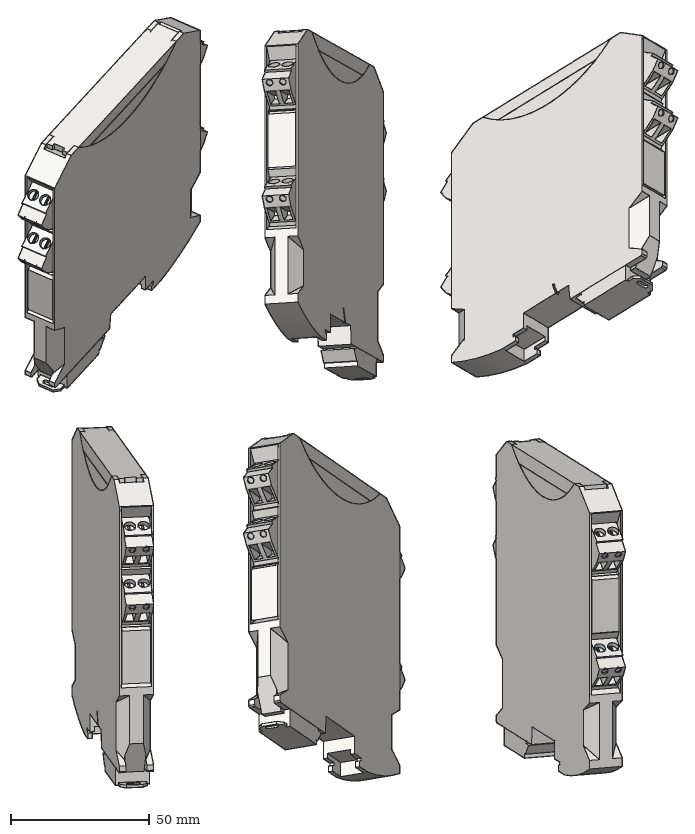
import cadquery as cq
import math

width = 12.6
half_depth = 49.3
overall_length = 112.5
height = 113.7
base_z = 6.7
chamfer_y = 38.2
chamfer_z = 106.3
corner_slope = (height - chamfer_z) / (half_depth - chamfer_y)

rail_top_z = 13.4
rail_back_y = 12.0
rail_front_y = -11.3
hook_y = 16.3
hook_top_z = 5.2
hook_z = 3.1
hook_flat_y = 22.9
hook_wall = 1.7
hook_channel_z = 8.5

lid_arc_z = 101.5
lid_arc_half = 33.1
flap_line_z = 108.2
flap_relief = 0.1
tongue_width = 8.9
tongue_half = 37.5
tongue_z = 111.1
groove_half = 39.7
groove_edge_z = height - corner_slope * (groove_half - chamfer_y)
groove_foot_half = 36.2
groove_end_slope = (groove_edge_z - tongue_z) / (groove_half - groove_foot_half)
pry_notch_width = 4.3

slot_width = 11.1
slot_pitch = 21.5
slot_count = 3
first_floor_z = 81.5
slot_rise = 24.5
slot_slope = 0.66
slot_apex_depth = slot_rise / (slot_slope + 1 / slot_slope)
slot_apex_rise = slot_slope * slot_apex_depth
slot_angle = math.degrees(math.atan(slot_slope))
front_plug_slots = (0, 1)
front_blank_slot = 2
rear_plug_slots = (0, 2)
rear_blank_slot = 1

blank_width = 10.5
blank_set_back = 0.3
blank_bottom = 1.4
blank_top = 21.1
blank_top_depth = 1.5

plug_width = 10.1
plug_top_rise = 17.9
ridge_out, ridge_rise = 4.3, 15.0
notch_out, notch_rise = 3.4, 14.3
tip_out, tip_rise = overall_length / 2 - half_depth, 11.1
front_out, front_rise = 4.3, 7.3
curve_out, curve_rise = 2.0, 5.3
heel_depth, heel_rise = 1.4, 2.7
rest_depth = 2.2
screw_out = 0.6
test_out, test_rise = 6.0, 9.9
pole_spacing = 5.1
screw_diameter = 4.1
screw_depth = 1.8
screw_slot_width = 0.7
screw_slot_depth = 0.6
test_diameter = 2.4
test_depth = 0.6
wire_width = 3.3
wire_low = 2.8
wire_high = 7.2
wire_depth = 4.5

pocket_y = 42.6
web_width = 5.0
pocket_top_z = 35.6
pocket_ceiling_z = 31.6
front_pocket_floor_z = 13.5
front_prong_z = 9.3
rear_pocket_floor_z = 18.4
rear_pocket_edge_z = 14.3

tool_slot_width = 7.7
tool_slot_top_z = 17.5
tool_slot_y = -43.3
stub_z = 5.5

foot_end_y = -40.8
foot_nose_y = -15.1
foot_nose_z = 5.7
foot_neck_y = -17.6
foot_neck_z = 5.9
foot_ramp_y = -18.3
foot_step_y = -19.2
foot_step_z = 1.7
tab_end_y = -45.3
tab_width = 10.1
tab_thickness = 1.0
tab_chamfer = 2.0
tab_hole_length = 5.0
tab_hole_width = 1.8

slit_depth = 0.9
slit_top_z = 18.3
slit_top_ys = (-2.8, -3.5)
slit_foot_ys = (-5.5, -4.5)


def prism(points, thickness):
    """Extrude a closed (Y, Z) polygon along X, centred on X = 0."""
    return cq.Workplane("YZ").polyline(points).close().extrude(thickness / 2, both=True)


def at_side(body, side):
    """Keep a body made for the -Y side, or mirror it to the +Y side."""
    return body if side < 0 else body.mirror("XZ")


def floor_z(slot):
    return first_floor_z - slot * slot_pitch


def lid_segment(thickness):
    return (
        cq.Workplane("YZ")
        .moveTo(-lid_arc_half, height)
        .threePointArc((0, lid_arc_z), (lid_arc_half, height))
        .close()
        .extrude(thickness / 2, both=True)
    )


def groove_outline(top_half, shoulder_z):
    """Lid tongue outline, sloped below the shoulder to match the groove ends."""
    shoulder_half = groove_foot_half + (shoulder_z - tongue_z) / groove_end_slope
    return [
        (-top_half, height), (-shoulder_half, shoulder_z), (-groove_foot_half, tongue_z),
        (groove_foot_half, tongue_z), (shoulder_half, shoulder_z), (top_half, height),
    ]


def lid_groove():
    return prism(groove_outline(groove_half, groove_edge_z), tongue_width)


def lid_space():
    return lid_segment(width).union(lid_groove())


def make_lid():
    shoulder_z = tongue_z + groove_end_slope * (tongue_half - groove_foot_half)
    tongue = prism(groove_outline(tongue_half, shoulder_z), tongue_width)
    lower = cq.Workplane("XY").box(
        width, 2 * lid_arc_half, flap_line_z - lid_arc_z, centered=(True, True, False)
    ).translate((0, 0, lid_arc_z))
    core = lid_segment(width - 2 * flap_relief)
    notch_length = tongue_half - groove_foot_half
    pry_notch = cq.Workplane("XY").box(
        pry_notch_width, notch_length, height - tongue_z, centered=(True, False, False)
    ).translate((0, -tongue_half, tongue_z))
    return lid_segment(width).cut(lower).union(core).union(tongue).cut(pry_notch)


def slot_space(slot):
    z = floor_z(slot)
    return prism(
        [
            (-half_depth, z),
            (-half_depth + slot_apex_depth, z + slot_apex_rise),
            (-half_depth, z + slot_rise),
        ],
        slot_width,
    )


def blank_panel(slot):
    """Panel filling a slot, standing just behind the housing face."""
    z = floor_z(slot)
    face_y = -half_depth + blank_set_back
    roof_z = z + slot_rise - blank_top_depth / slot_slope
    return prism(
        [
            (face_y, z + blank_bottom),
            (face_y, z + blank_top),
            (-half_depth + blank_top_depth, roof_z),
            (-half_depth + slot_apex_depth, z + slot_apex_rise),
        ],
        blank_width,
    )


def make_plug(slot):
    """Two-pole screw plug resting on the slot floor and roof, on the -Y side."""
    def point(out, rise):
        return (-half_depth - out, floor_z(slot) + rise)

    roof_depth = (slot_rise - plug_top_rise) / (slot_slope + 1 / slot_slope)
    plug = (
        cq.Workplane("YZ")
        .moveTo(*point(-slot_apex_depth, slot_apex_rise))
        .lineTo(*point(-roof_depth, plug_top_rise + slot_slope * roof_depth))
        .lineTo(*point(ridge_out, ridge_rise))
        .lineTo(*point(notch_out, notch_rise))
        .lineTo(*point(tip_out, tip_rise))
        .lineTo(*point(front_out, front_rise))
        .threePointArc(point(curve_out, curve_rise), point(-heel_depth, heel_rise))
        .lineTo(*point(-rest_depth, slot_slope * rest_depth))
        .close()
        .extrude(plug_width / 2, both=True)
    )

    screw_y, screw_z = point(screw_out, plug_top_rise - slot_slope * screw_out)
    test_y, test_z = point(test_out, test_rise)
    wire_inner_y = -half_depth + wire_depth
    wire_outer_y = -half_depth - wire_depth
    wire_floor_z = floor_z(slot) + wire_low
    wire_roof_z = floor_z(slot) + wire_high
    for x in (-pole_spacing / 2, pole_spacing / 2):
        screw = cq.Workplane("XY").circle(screw_diameter / 2).extrude(screw_depth, both=True)
        driver_slot = (
            cq.Workplane("XY").workplane(offset=-screw_depth)
            .rect(screw_slot_width, screw_diameter).extrude(-screw_slot_depth)
        )
        screw = screw.union(driver_slot)
        plug = plug.cut(screw.rotate((0, 0, 0), (1, 0, 0), slot_angle).translate((x, screw_y, screw_z)))
        test = cq.Workplane("XZ").circle(test_diameter / 2).extrude(test_depth, both=True)
        plug = plug.cut(test.rotate((0, 0, 0), (1, 0, 0), slot_angle).translate((x, test_y, test_z)))
        wire = prism(
            [
                (wire_outer_y, wire_floor_z),
                (wire_outer_y, wire_roof_z),
                (wire_inner_y, wire_roof_z),
                (wire_inner_y, wire_floor_z + slot_slope * wire_depth),
                (-half_depth, wire_floor_z),
            ],
            wire_width,
        )
        plug = plug.cut(wire.translate((x, 0, 0)))
    return plug


def housing_blank():
    lip_y = 17.5
    lip_z = 5.8
    belly_y, belly_z = 35.2, 5.7
    heel_z = 11.1
    prong_end_z = 7.3
    prong_nose = 0.6
    return (
        cq.Workplane("YZ")
        .moveTo(-half_depth, chamfer_z)
        .lineTo(-chamfer_y, height)
        .lineTo(chamfer_y, height)
        .lineTo(half_depth, chamfer_z)
        .lineTo(half_depth, heel_z)
        .threePointArc((belly_y, belly_z), (hook_flat_y, hook_z))
        .lineTo(hook_y, hook_z)
        .lineTo(hook_y, hook_top_z)
        .lineTo(lip_y, lip_z)
        .lineTo(lip_y, base_z)
        .lineTo(rail_back_y, base_z)
        .lineTo(rail_back_y, rail_top_z)
        .lineTo(rail_front_y, rail_top_z)
        .lineTo(-rail_back_y, base_z)
        .lineTo(-half_depth + prong_nose, base_z)
        .lineTo(-half_depth, prong_end_z)
        .close()
        .extrude(width / 2, both=True)
    )


def corner_pockets(floor_inner_z, floor_edge_z):
    """Pair of wedge pockets at the -Y face, meeting the web from both sides."""
    side_view = prism(
        [
            (-half_depth, pocket_top_z), (-pocket_y, pocket_ceiling_z),
            (-pocket_y, floor_inner_z), (-half_depth, floor_edge_z),
        ],
        width,
    )
    plan = (
        cq.Workplane("XY")
        .polyline([(web_width / 2, -half_depth), (width / 2, -half_depth), (width / 2, -pocket_y)])
        .close()
        .extrude(height)
    )
    return side_view.intersect(plan.union(plan.mirror("YZ")))


def tool_slot():
    return prism(
        [
            (-half_depth, tool_slot_top_z), (tool_slot_y, stub_z), (-half_depth, stub_z),
        ],
        tool_slot_width,
    )


def stub():
    """Block under the housing that closes the gap between tool slot and foot."""
    start_y = tool_slot_y - (base_z - stub_z)
    length = foot_end_y - start_y
    return cq.Workplane("XY").box(
        tool_slot_width, length, base_z - stub_z, centered=(True, False, False)
    ).translate((0, start_y, stub_z))


def hook_channel():
    """Open channel that splits the rail hook into two prongs."""
    return cq.Workplane("XY").box(
        width - 2 * hook_wall, hook_flat_y - rail_back_y, hook_channel_z, centered=(True, False, False)
    ).translate((0, rail_back_y, 0))


def spring_slit():
    outline = [(y, slit_top_z) for y in slit_top_ys] + [(y, rail_top_z) for y in slit_foot_ys]
    return cq.Workplane("YZ", origin=(-width / 2, 0, 0)).polyline(outline).close().extrude(slit_depth)


def make_housing():
    housing = housing_blank().cut(lid_space())
    for side, blank_slot in ((-1, front_blank_slot), (1, rear_blank_slot)):
        for slot in range(slot_count):
            housing = housing.cut(at_side(slot_space(slot), side))
        housing = housing.union(at_side(blank_panel(blank_slot), side))
    housing = housing.cut(corner_pockets(front_pocket_floor_z, front_prong_z))
    housing = housing.cut(at_side(corner_pockets(rear_pocket_floor_z, rear_pocket_edge_z), 1))
    housing = housing.union(stub()).cut(tool_slot())
    return housing.cut(hook_channel()).cut(spring_slit())


def make_foot():
    body = prism(
        [
            (foot_end_y, base_z), (foot_neck_y, base_z),
            (foot_neck_y, foot_neck_z), (foot_nose_y, foot_nose_z),
            (foot_ramp_y, foot_step_z), (foot_step_y, foot_step_z),
            (foot_step_y, 0), (foot_end_y, 0),
        ],
        width,
    )
    tab_length = foot_end_y - tab_end_y
    tab = (
        cq.Workplane("XY")
        .box(tab_width, tab_length, tab_thickness, centered=(True, False, False))
        .translate((0, tab_end_y, 0))
        .edges("|Z and <Y").chamfer(tab_chamfer)
    )
    hole = (
        cq.Workplane("XY")
        .center(0, foot_end_y - tab_length / 2)
        .slot2D(tab_hole_length, tab_hole_width)
        .extrude(tab_thickness)
    )
    return body.union(tab).cut(hole)


housing = make_housing()
lid = make_lid()
foot = make_foot()
plugs = []
for side, slots in ((-1, front_plug_slots), (1, rear_plug_slots)):
    for slot in slots:
        plugs.append(at_side(make_plug(slot), side))

result = cq.Compound.makeCompound(
    [housing.val(), lid.val(), foot.val(), *[plug.val() for plug in plugs]]
)